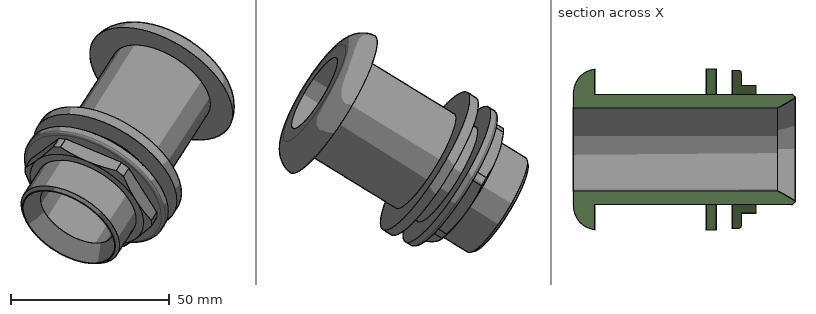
import cadquery as cq
import math


total_length = 69.85
tube_radius = 17.45
bore_radius = 13.0
end_chamfer = 1.0
mouth_radius = 16.2
countersink_depth = 5.6
head_radius = 25.35
head_thickness = 6.85
crown_arc_radius = 7.7

washer_radius = 25.39
washer_start = 24.8
washer_thickness = 3.3

nut_start = 12.3
hex_height = 4.6
hex_across_flats = 40.2
hex_corner_radius = 22.4
hex_bevel_height = 1.0
flange_radius = 24.95
flange_thickness = 2.9
flange_fillet = 0.9


def disc(radius, start, length):
    """Solid cylinder along +Y from Y = start."""
    return cq.Workplane("XZ", origin=(0, start, 0)).circle(radius).extrude(-length)


def revolve_about_y(profile):
    return profile.close().revolve(360, (0, 0, 0), (0, 1, 0))


def make_tube():
    """Tube with a domed head, a chamfered end and a countersunk through bore."""
    head_start = total_length - head_thickness
    arc_center_y = total_length - crown_arc_radius
    rim_angle = math.asin((head_start - arc_center_y) / crown_arc_radius)
    arc_center_x = head_radius - crown_arc_radius * math.cos(rim_angle)
    middle_angle = (rim_angle + math.pi / 2) / 2
    arc_middle = (
        arc_center_x + crown_arc_radius * math.cos(middle_angle),
        arc_center_y + crown_arc_radius * math.sin(middle_angle),
    )
    profile = (
        cq.Workplane("XY")
        .moveTo(mouth_radius, 0)
        .lineTo(tube_radius - end_chamfer, 0)
        .lineTo(tube_radius, end_chamfer)
        .lineTo(tube_radius, head_start)
        .lineTo(head_radius, head_start)
        .threePointArc(arc_middle, (arc_center_x, total_length))
        .lineTo(bore_radius, total_length)
        .lineTo(bore_radius, countersink_depth)
    )
    return revolve_about_y(profile)


def make_washer():
    """Flat ring that fits the tube."""
    ring = disc(washer_radius, washer_start, washer_thickness)
    return ring.cut(disc(tube_radius, washer_start, washer_thickness))


def make_nut():
    """Hexagon with trimmed, bevelled corners on a round flange."""
    flange_start = nut_start + hex_height
    hexagon = (
        cq.Workplane("XZ", origin=(0, nut_start, 0))
        .polygon(6, hex_across_flats, circumscribed=True)
        .extrude(-hex_height)
        .rotate((0, 0, 0), (0, 1, 0), 30)
    )
    envelope = revolve_about_y(
        cq.Workplane("XY")
        .moveTo(0, nut_start)
        .lineTo(hex_across_flats / 2, nut_start)
        .lineTo(hex_corner_radius, nut_start + hex_bevel_height)
        .lineTo(hex_corner_radius, flange_start)
        .lineTo(0, flange_start)
    )
    flange = disc(flange_radius, flange_start, flange_thickness).faces("<Y").edges().fillet(flange_fillet)
    body = hexagon.intersect(envelope).union(flange)
    return body.cut(disc(tube_radius, nut_start, hex_height + flange_thickness))


tube = make_tube()
washer = make_washer()
nut = make_nut()

result = cq.Compound.makeCompound([tube.val(), washer.val(), nut.val()])